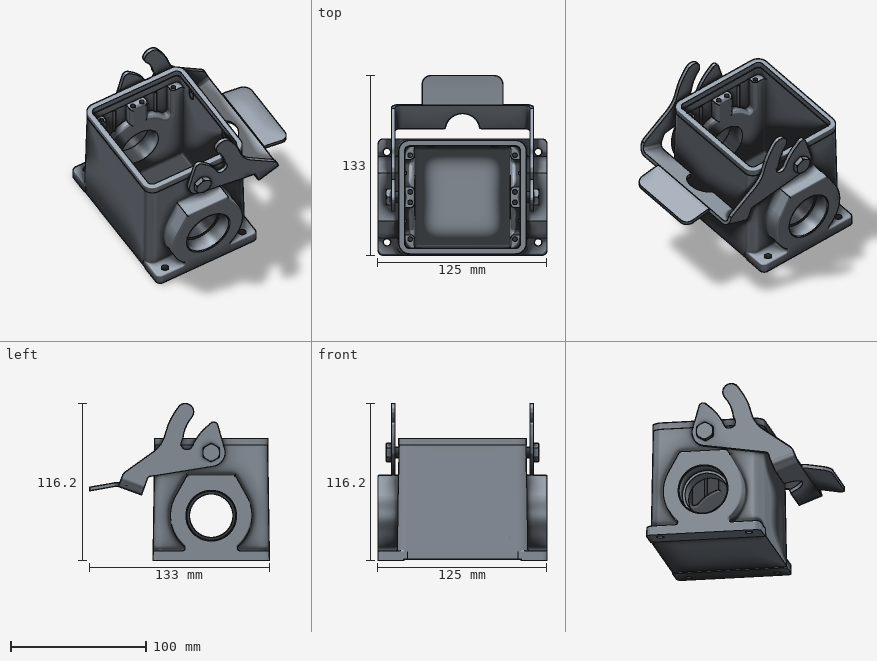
import cadquery as cq
import math

SIDES = (-1, 1)
tolerance = 0.1
wall_search = 0.7

length = 125.0
width = 86.2
overall_width = 133.0
flange_height = 7.2
flange_corner = 4.0
edge_round = 1.0
body_length = 96.6
body_corner = 7.5
draft = 0.9
rim_bottom = 85.3
rim_top = 90.3
rim_length = 94.5
rim_width = 84.1
rim_corner = 8.0
rim_edge_round = 0.4
foot_recess_length = 86.7
foot_recess_depth = 0.9
mount_hole_diameter = 5.3
mount_x = 55.9
mount_y = 33.4

entry_z = 33.1
entry_diameter = 32.0
counterbore_diameter = 36.2
counterbore_depth = 13.3
counterbore_chamfer = 0.7
boss_radius = 30.0
boss_top = 63.0
boss_top_half_width = 17.7
boss_tangent_angle = 29.0
boss_foot_round = 2.0

rim_opening_length = 85.7
rim_opening_width = 76.1
opening_corner = 4.0
upper_length = 84.9
upper_width = 75.3
lower_length = 71.5
lower_corner = 2.0
cavity_draft = 0.6
floor_z = 4.0
floor_round = 1.9
post_top = 78.5
pocket_inner_y = 7.6
pocket_outer_y = 28.0
pocket_floor_radius = 29.0
pocket_floor_round = 2.9
post_edge_round = 2.7
screw_hole_diameter = 3.5
screw_hole_depth = 16.0
screw_x = 38.7
screw_rows = (3.9, 31.0)
rod_y = 17.7
rod_radius = 1.2
pad_x = 23.4
pad_width = 5.3
pad_height = 8.0
pad_thickness = 0.5

plate_outer_x = 52.5
plate_thickness = 2.8
pivot_z = 79.8
pivot_radius = 10.2
pin_diameter = 8.0
bolt_across_flats = 12.0
bolt_height = 3.9
bolt_chamfer = 0.7
web_tilt = 20.0
web_width = 18.2
web_corner = (51.5, 48.4)
bend_radius = 7.0
web_leg = 9.3
notch_radius = 12.6
notch_offset = 0.8
notch_round = 1.6
tab_width = 59.9
tab_tilt = -10.0
tab_root_y = 68.1
tab_root_z = 54.8
tab_bend_y = 70.8
tab_tip_y = overall_width - width / 2
tab_corner = 6.7


def on_circle(center, radius, degrees):
    """Point on a circle at the given angle."""
    angle = math.radians(degrees)
    return center[0] + radius * math.cos(angle), center[1] + radius * math.sin(angle)


def make_end_block():
    """Flange at both ends and the boss profile above it, running along X."""
    side_slope = flange_height * math.tan(math.radians(draft))
    flange = (
        cq.Workplane("YZ")
        .polyline([
            (-width / 2, 0),
            (width / 2, 0),
            (width / 2 - side_slope, flange_height),
            (side_slope - width / 2, flange_height),
        ])
        .close().extrude(length / 2, both=True)
        .edges("not (|X or |Y)").fillet(flange_corner)
    )
    middle = cq.Workplane("XY").box(body_length - 2 * body_corner, width, 2 * flange_height)
    flange = flange.cut(middle)
    entry = (0, entry_z)
    right = on_circle(entry, boss_radius, boss_tangent_angle)
    left = on_circle(entry, boss_radius, 180 - boss_tangent_angle)
    boss = (
        cq.Workplane("YZ").moveTo(-boss_top_half_width, boss_top)
        .lineTo(boss_top_half_width, boss_top)
        .lineTo(*right)
        .threePointArc((0, entry_z - boss_radius), left)
        .close().extrude(length / 2, both=True)
    )
    block = flange.union(boss)
    foot = cq.selectors.BoxSelector((-length, -boss_radius, flange_height - 0.1),
                                    (length, boss_radius, flange_height + 0.1))
    block = block.edges(foot).edges("|X").fillet(boss_foot_round)
    outline = block.faces("<X or >X").edges().edges(
        cq.selectors.BoxSelector((-length, -width, flange_height - 0.1), (length, width, boss_top + 1.3)))
    return outline.fillet(edge_round)


def is_body_foot(edge):
    """True for the edges where the body meets the flange top or a boss."""
    center = edge.Center()
    box = edge.BoundingBox()
    on_one_end = box.xmin * box.xmax > 0
    on_wall = body_length / 2 - body_corner < abs(center.x) < body_length / 2
    in_height = center.z > flange_height - tolerance and box.zmax < boss_top + tolerance
    return on_one_end and on_wall and in_height


def make_housing():
    """Drafted outer body with its rim, joined to the flange and bosses."""
    body = (
        cq.Workplane("XY").rect(body_length, width).extrude(rim_bottom, taper=draft)
        .edges(cq.selectors.BoxSelector((-length, -width, 1.3), (length, width, rim_bottom - 1.3)))
        .fillet(body_corner)
    )
    rim = (
        cq.Workplane("XY").workplane(offset=rim_bottom)
        .sketch().rect(rim_length, rim_width).vertices().fillet(rim_corner).finalize()
        .extrude(rim_top - rim_bottom).faces(">Z").edges().fillet(rim_edge_round)
    )
    base = make_end_block().union(body)
    foot_edges = [edge for edge in base.edges().vals() if is_body_foot(edge)]
    base = base.newObject(foot_edges).fillet(edge_round)
    housing = base.union(rim)
    recess = cq.Workplane("XY").box(foot_recess_length, width, foot_recess_depth, centered=(True, True, False))
    mounts = (
        cq.Workplane("XY").rect(2 * mount_x, 2 * mount_y, forConstruction=True).vertices()
        .circle(mount_hole_diameter / 2).extrude(flange_height)
    )
    return housing.cut(recess).cut(mounts)


def rounded_well(size_x, size_y, corner, top, depth, taper=0):
    """Rounded rectangular volume reaching down from the given height."""
    return (
        cq.Workplane("XY").workplane(offset=top)
        .sketch().rect(size_x, size_y).vertices().fillet(corner).finalize()
        .extrude(-depth, taper=taper)
    )


def is_pocket_mouth(edge):
    """True for the edges where a pocket meets the lower end wall."""
    center = edge.Center()
    box = edge.BoundingBox()
    on_wall = abs(abs(center.x) - lower_length / 2) < wall_search and box.xlen < 2 * wall_search
    beside_post = abs(center.y) < pocket_outer_y + tolerance
    in_height = center.z > entry_z and box.zmax < post_top + tolerance
    return on_wall and beside_post and in_height


def make_cavity():
    """Open interior, with two pockets beside the centre post on each end wall."""
    opening = rounded_well(rim_opening_length, rim_opening_width, opening_corner, rim_top, rim_top - rim_bottom)
    upper = rounded_well(upper_length, upper_width, opening_corner, rim_bottom, rim_bottom - post_top, cavity_draft)
    lower = rounded_well(lower_length, upper_width, lower_corner, rim_bottom, rim_bottom - floor_z, cavity_draft)
    lower = lower.faces("<Z").edges().fillet(floor_round)
    cavity = opening.union(upper).union(lower)

    pocket_width = pocket_outer_y - pocket_inner_y
    pocket = (
        cq.Workplane("XY").box(upper_length, pocket_width, post_top - entry_z, centered=(True, True, False))
        .translate((0, (pocket_inner_y + pocket_outer_y) / 2, entry_z))
    )
    arch = cq.Workplane("YZ").center(0, entry_z).circle(pocket_floor_radius).extrude(length, both=True)
    pocket = pocket.cut(arch)
    pocket = pocket.edges(
        cq.selectors.BoxSelector((-1.3, pocket_outer_y - 0.1, entry_z), (1.3, pocket_outer_y + 0.1, post_top - 1.3))
    ).fillet(pocket_floor_round)
    cavity = cavity.union(pocket).union(pocket.mirror("XZ"))
    mouth_edges = [edge for edge in cavity.edges().vals() if is_pocket_mouth(edge)]
    return cavity.newObject(mouth_edges).fillet(post_edge_round)


def make_rods_and_pads():
    """Thin rods on the end walls and small round-ended pads on the rear wall."""
    details = cq.Workplane("XY")
    for side in SIDES:
        rods = (
            cq.Workplane("XY").workplane(offset=entry_z)
            .pushPoints([(side * upper_length / 2, -rod_y), (side * upper_length / 2, rod_y)])
            .circle(rod_radius).extrude(post_top - entry_z)
        )
        pad = (
            cq.Workplane("XZ", origin=(side * pad_x, upper_width / 2 - pad_thickness, rim_bottom))
            .moveTo(-pad_width / 2, 0)
            .lineTo(-pad_width / 2, pad_width / 2 - pad_height)
            .threePointArc((0, -pad_height), (pad_width / 2, pad_width / 2 - pad_height))
            .lineTo(pad_width / 2, 0)
            .close().extrude(-2 * pad_thickness)
        )
        details = details.union(rods).union(pad)
    return details


def make_screw_holes():
    """Blind screw holes in the tops of the posts."""
    points = [(sx * screw_x, sy * row) for sx in SIDES for sy in SIDES for row in screw_rows]
    return (
        cq.Workplane("XY").workplane(offset=post_top).pushPoints(points)
        .circle(screw_hole_diameter / 2).extrude(-screw_hole_depth)
    )


def make_entry_cutter():
    """Through passage along X with a counterbore at each end."""
    cutter = cq.Workplane("YZ").center(0, entry_z).circle(entry_diameter / 2).extrude(length / 2, both=True)
    for side in SIDES:
        bore = (
            cq.Workplane("YZ", origin=(side * (length / 2 - counterbore_depth), 0, entry_z))
            .circle(counterbore_diameter / 2).extrude(side * counterbore_depth)
        )
        mouth = (
            cq.Workplane("YZ", origin=(side * length / 2, 0, entry_z))
            .circle(counterbore_diameter / 2 + counterbore_chamfer)
            .extrude(-side * counterbore_chamfer, taper=45)
        )
        cutter = cutter.union(bore).union(mouth)
    return cutter


def make_plate():
    """One lever side plate: pivot end, hook, catch slot and finger, ending at the web."""
    normal = web_tilt + 90
    far_corner = on_circle(web_corner, web_width, web_tilt)
    pivot = (0, pivot_z)
    hook, hook_radius = (-1.9, 99.2), 3.2
    slot, slot_radius = (18.0, 86.5), 4.5
    finger, finger_radius = (19.2, 109.9), 6.3
    outline = (
        cq.Workplane("YZ")
        .moveTo(*on_circle(web_corner, bend_radius, normal))
        .lineTo(*on_circle(web_corner, 12.2, normal))
        .threePointArc((46.5, 61.5), (45.4, 62.1))
        .lineTo(*on_circle(pivot, pivot_radius, 261))
        .threePointArc(on_circle(pivot, pivot_radius, 212), on_circle(pivot, pivot_radius, 164))
        .lineTo(*on_circle(hook, hook_radius, 164))
        .threePointArc(on_circle(hook, hook_radius, 106), on_circle(hook, hook_radius, 48))
        .lineTo(5.6, 97.0)
        .threePointArc((11.0, 90.0), on_circle(slot, slot_radius, 214))
        .threePointArc(on_circle(slot, slot_radius, 290), on_circle(slot, slot_radius, 8))
        .lineTo(20.9, 90.3)
        .threePointArc((18.2, 99.8), on_circle(finger, finger_radius, 216))
        .threePointArc(on_circle(finger, finger_radius, 120), on_circle(finger, finger_radius, 38))
        .threePointArc((28.5, 107.2), (31.9, 100.3))
        .lineTo(35.1, 90.0)
        .threePointArc((37.9, 85.1), (42.4, 80.6))
        .lineTo(62.5, 66.2)
        .threePointArc((64.2, 64.8), on_circle(far_corner, web_leg, normal))
        .lineTo(*on_circle(far_corner, bend_radius, normal))
        .close()
    )
    return outline.extrude(plate_thickness).translate((plate_outer_x - plate_thickness, 0, 0))


def make_bolt():
    """Pin from the body wall through the plate, with a chamfered hexagon head."""
    pin_start = upper_length / 2 + 1.3
    pin = (
        cq.Workplane("YZ", origin=(pin_start, 0, pivot_z))
        .circle(pin_diameter / 2).extrude(plate_outer_x - pin_start)
    )
    across_corners = bolt_across_flats / math.cos(math.radians(30))
    head = (
        cq.Workplane("YZ", origin=(plate_outer_x, 0, pivot_z))
        .transformed(rotate=(0, 0, 90)).polygon(6, across_corners).extrude(bolt_height)
    )
    cone = (
        cq.Workplane("YZ", origin=(plate_outer_x, 0, pivot_z))
        .circle(across_corners / 2).extrude(bolt_height).faces(">X").chamfer(bolt_chamfer)
    )
    return pin.union(head.intersect(cone))


def make_crossbar():
    """Tilted web with a bent edge at each end and a central notch, plus the pull tab."""
    span = 2 * plate_outer_x
    web = (
        cq.Workplane("XY").box(span, web_width, 2 * web_leg, centered=(True, False, False))
        .edges("|Y and <Z").fillet(bend_radius)
    )
    inside = (
        cq.Workplane("XY").box(span - 2 * plate_thickness, web_width, 2 * web_leg, centered=(True, False, False))
        .translate((0, 0, plate_thickness))
        .edges("|Y and <Z").fillet(bend_radius - plate_thickness)
    )
    above_legs = (
        cq.Workplane("XY").box(span, web_width, 2 * web_leg, centered=(True, False, False))
        .translate((0, 0, web_leg))
    )
    notch = cq.Workplane("XY").center(0, -notch_offset).circle(notch_radius).extrude(plate_thickness)
    web = web.cut(inside).cut(above_legs).cut(notch)
    notch_ends = cq.selectors.BoxSelector((-notch_radius - 1.3, -0.1, 0), (notch_radius + 1.3, 0.1, plate_thickness))
    web = web.edges(notch_ends).edges("|Z").fillet(notch_round)
    web = web.rotate((0, 0, 0), (1, 0, 0), web_tilt).translate((0, *web_corner))

    slope = math.tan(math.radians(tab_tilt))
    tip_z = tab_root_z + slope * (tab_tip_y - tab_bend_y)
    tab = (
        cq.Workplane("YZ")
        .polyline([
            (tab_root_y, tab_root_z),
            (tab_bend_y, tab_root_z),
            (tab_tip_y, tip_z),
            (tab_tip_y, tip_z + plate_thickness),
            (tab_bend_y, tab_root_z + plate_thickness),
            (tab_root_y, tab_root_z + plate_thickness),
        ])
        .close().extrude(tab_width / 2, both=True)
        .faces(">Y").edges("not |X").fillet(tab_corner)
    )
    return web.union(tab)


housing = make_housing().cut(make_cavity())
housing = housing.union(make_rods_and_pads()).cut(make_screw_holes()).cut(make_entry_cutter())
half_lever = make_plate().union(make_bolt())
lever = make_crossbar().union(half_lever).union(half_lever.mirror("YZ"))
result = housing.union(lever)